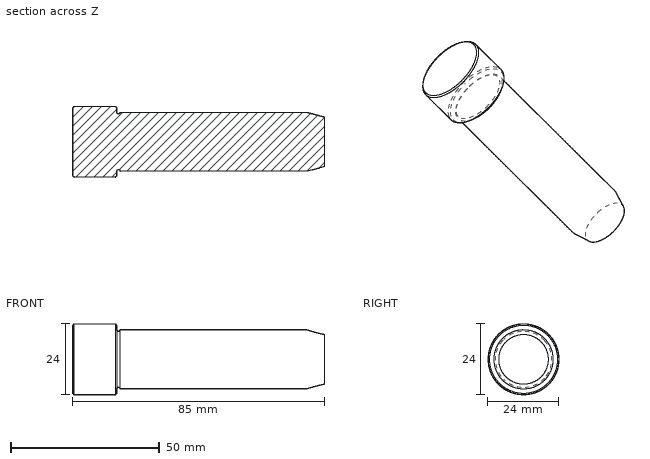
import cadquery as cq
import math

total_length = 85.0
head_diameter = 24.0
head_length = 15.0
head_chamfer = 0.5
shank_diameter = 20.0
groove_width = 1.0
groove_depth = 0.5
taper_length = 6.0
taper_angle = 15.0

head_radius = head_diameter / 2
shank_radius = shank_diameter / 2
groove_middle = head_length + groove_width / 2
groove_end = head_length + groove_width
taper_start = total_length - taper_length
tip_radius = shank_radius - taper_length * math.tan(math.radians(taper_angle))

profile = (
    cq.Workplane("XY")
    .lineTo(0, head_radius - head_chamfer)
    .lineTo(head_chamfer, head_radius)
    .lineTo(head_length - head_chamfer, head_radius)
    .lineTo(head_length, head_radius - head_chamfer)
    .lineTo(head_length, shank_radius)
    .threePointArc((groove_middle, shank_radius - groove_depth), (groove_end, shank_radius))
    .lineTo(taper_start, shank_radius)
    .lineTo(total_length, tip_radius)
    .lineTo(total_length, 0)
    .close()
)

result = profile.revolve(360, (0, 0, 0), (1, 0, 0))